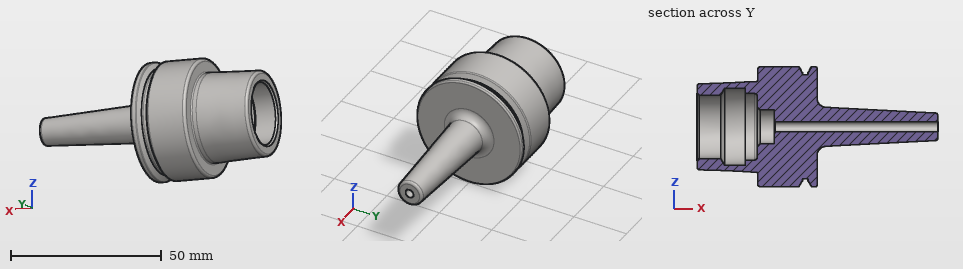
import cadquery as cq
import math

length = 80.0

shank_length = 20.1
shank_mouth_d = 28.7
shank_root_d = 30.2
shank_root_start = 18.2
shank_edge_fillet = 1.0
shank_root_fillet = 0.4

flange_d = 40.0
flange_end = 39.9
flange_front_fillet = 1.0
groove_front_fillet = 0.6
groove_back_fillet = 0.3
flange_back_fillet = 0.6
groove_floor_fillet = 0.3
groove_floor_d = 34.8
groove_start = 35.0
groove_floor_width = 1.8
groove_wall_depth = 2.1
groove_wall_angle = 30.0

nose_start = 42.6
nose_root_d = 13.2
nose_half_angle = 3.0
nose_root_fillet = 2.9
nose_tip_fillet = 1.0

mouth_d = 21.0
mouth_chamfer = 0.6
mouth_chamfer_length = 0.7
undercut_d = 25.5
undercut_start = 7.9
undercut_end = 16.0
undercut_wall_angle = 60.0
seat_d = 22.0
seat_depth = 20.0
seat_fillet = 1.0
pocket_d = 11.0
pocket_chamfer = 1.0
pocket_depth = 25.6
hole_d = 3.0
hole_countersink_d = 4.5
hole_countersink_angle = 118.0


def revolve_about_x(points):
    """Revolve an (x, radius) outline a full turn about the X axis."""
    return cq.Workplane("XY").polyline(points).close().revolve(360, (0, 0, 0), (1, 0, 0))


def fillet_ring(body, x, diameter, radius):
    """Round the circular edge of the given diameter at station x."""
    tolerance = 0.01
    half = diameter / 2 + tolerance
    ring = cq.selectors.BoxSelector(
        (x - tolerance, -half, -half), (x + tolerance, half, half), boundingbox=True
    )
    inner = cq.selectors.BoxSelector(
        (x - tolerance, -half + 2 * tolerance, -half + 2 * tolerance),
        (x + tolerance, half - 2 * tolerance, half - 2 * tolerance),
        boundingbox=True,
    )
    return body.edges(ring - inner).fillet(radius)


def make_outside():
    """Solid turned body: shank, grooved flange and nose."""
    wall_run = groove_wall_depth * math.tan(math.radians(groove_wall_angle))
    groove_end = groove_start + groove_floor_width
    wall_foot_d = flange_d - 2 * groove_wall_depth
    slope = math.tan(math.radians(nose_half_angle))
    nose_base_d = nose_root_d + 2 * (nose_start - flange_end) * slope
    nose_tip_d = nose_root_d - 2 * (length - nose_start) * slope
    body = revolve_about_x([
        (0, 0),
        (0, shank_mouth_d / 2),
        (shank_root_start, shank_root_d / 2),
        (shank_length, shank_root_d / 2),
        (shank_length, flange_d / 2),
        (groove_start - wall_run, flange_d / 2),
        (groove_start, wall_foot_d / 2),
        (groove_start, groove_floor_d / 2),
        (groove_end, groove_floor_d / 2),
        (groove_end, wall_foot_d / 2),
        (groove_end + wall_run, flange_d / 2),
        (flange_end, flange_d / 2),
        (flange_end, nose_base_d / 2),
        (length, nose_tip_d / 2),
        (length, 0),
    ])
    body = fillet_ring(body, 0, shank_mouth_d, shank_edge_fillet)
    body = fillet_ring(body, shank_length, shank_root_d, shank_root_fillet)
    body = fillet_ring(body, shank_length, flange_d, flange_front_fillet)
    body = fillet_ring(body, groove_start - wall_run, flange_d, groove_front_fillet)
    body = fillet_ring(body, groove_end + wall_run, flange_d, groove_back_fillet)
    body = fillet_ring(body, groove_start, groove_floor_d, groove_floor_fillet)
    body = fillet_ring(body, groove_end, groove_floor_d, groove_floor_fillet)
    body = fillet_ring(body, flange_end, flange_d, flange_back_fillet)
    body = fillet_ring(body, flange_end, nose_base_d, nose_root_fillet)
    return fillet_ring(body, length, nose_tip_d, nose_tip_fillet)


def make_bore():
    """Volume removed along the axis."""
    undercut_run = (undercut_d - mouth_d) / 2 / math.tan(math.radians(undercut_wall_angle))
    countersink_slope = math.tan(math.radians(hole_countersink_angle / 2))
    countersink_run = (hole_countersink_d - hole_d) / 2 / countersink_slope
    bore = revolve_about_x([
        (0, 0),
        (0, mouth_d / 2 + mouth_chamfer),
        (mouth_chamfer_length, mouth_d / 2),
        (undercut_start, mouth_d / 2),
        (undercut_start + undercut_run, undercut_d / 2),
        (undercut_end, undercut_d / 2),
        (undercut_end, seat_d / 2),
        (seat_depth, seat_d / 2),
        (seat_depth, pocket_d / 2 + pocket_chamfer),
        (seat_depth + pocket_chamfer, pocket_d / 2),
        (pocket_depth, pocket_d / 2),
        (pocket_depth, hole_countersink_d / 2),
        (pocket_depth + countersink_run, hole_d / 2),
        (length, hole_d / 2),
        (length, 0),
    ])
    return fillet_ring(bore, seat_depth, seat_d, seat_fillet)


result = make_outside().cut(make_bore())